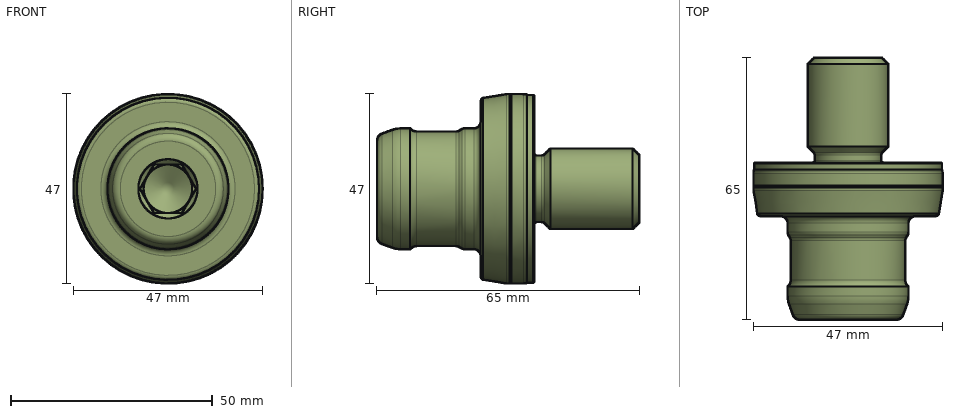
import cadquery as cq
import math

total_length = 65.0

locating_radius = 15.0
waist_radius = 14.25
taper_angle = math.radians(20)
nose_face_radius = 11.8
nose_round = 2.0
shoulder_round = 5.85
shoulder_start = 5.9
waist_front = 8.25
waist_blend_radius = 2.0
waist_back = 19.6
step_arc_radius = 1.5
step_angle = math.radians(30)
root_fillet = 1.6

flange_front = 25.7
flange_back = 39.05
flange_radius = 23.5
taper_end = 32.1
taper_small_radius = 22.55
front_edge_length = 0.65
front_face_radius = 21.45
rim_radius = 23.3
rim_start = 37.25
rim_step_length = 0.3
rim_edge_length = 0.65
rim_edge_radius = 23.43
rim_chamfer = 0.3
groove_back = 33.35
groove_width = 0.5
groove_depth = 0.2

neck_radius = 8.29
neck_fillet = 0.4
neck_blend_radius = 1.05
shank_radius = 10.0
shank_start = 42.95
shank_chamfer = 1.6

socket_across_flats = 12.0
socket_depth = 8.0
socket_mouth_radius = 7.35
mouth_cone_angle = math.radians(45)
drill_wall_length = 0.25
drill_tip_half_angle = math.radians(60)


def arc_point(centre_x, centre_y, radius, angle):
    """Point on an arc, with the angle measured from +X toward +Y."""
    return (centre_x + radius * math.cos(angle), centre_y + radius * math.sin(angle))


def add_plug(outline):
    """Rounded nose, taper, locating land, waist and second land, up to the flange."""
    nose_tangent = arc_point(nose_face_radius, nose_round, nose_round, -taper_angle)
    nose_middle_angle = -(math.pi / 2 + taper_angle) / 2
    nose_middle = arc_point(nose_face_radius, nose_round, nose_round, nose_middle_angle)
    shoulder_centre = locating_radius - shoulder_round
    shoulder_tangent = arc_point(shoulder_centre, shoulder_start, shoulder_round, -taper_angle)
    shoulder_middle = arc_point(shoulder_centre, shoulder_start, shoulder_round, -taper_angle / 2)

    step = locating_radius - waist_radius
    blend_angle = math.acos(1 - step / waist_blend_radius)
    blend_length = waist_blend_radius * math.sin(blend_angle)
    blend_end = waist_front + blend_length
    blend_middle = arc_point(
        waist_radius + waist_blend_radius, blend_end, waist_blend_radius, math.pi + blend_angle / 2
    )

    arc_rise = step_arc_radius * (1 - math.cos(step_angle))
    arc_length = step_arc_radius * math.sin(step_angle)
    cone_length = (step - 2 * arc_rise) / math.tan(step_angle)
    cone_start = (waist_radius + arc_rise, waist_back + arc_length)
    cone_end = (locating_radius - arc_rise, waist_back + arc_length + cone_length)
    step_end = (locating_radius, waist_back + 2 * arc_length + cone_length)

    root_start = flange_front - root_fillet
    root_middle = arc_point(
        locating_radius + root_fillet, root_start, root_fillet, math.radians(135)
    )
    return (
        outline.lineTo(nose_face_radius, 0)
        .threePointArc(nose_middle, nose_tangent)
        .lineTo(*shoulder_tangent)
        .threePointArc(shoulder_middle, (locating_radius, shoulder_start))
        .lineTo(locating_radius, waist_front)
        .threePointArc(blend_middle, (waist_radius, blend_end))
        .lineTo(waist_radius, waist_back)
        .tangentArcPoint(cone_start, relative=False)
        .lineTo(*cone_end)
        .tangentArcPoint(step_end, relative=False)
        .lineTo(locating_radius, root_start)
        .threePointArc(root_middle, (locating_radius + root_fillet, flange_front))
    )


def add_flange(outline):
    """Tapered flange with a fine V-groove and a slightly smaller back rim."""
    return (
        outline.lineTo(front_face_radius, flange_front)
        .tangentArcPoint((taper_small_radius, flange_front + front_edge_length), relative=False)
        .lineTo(flange_radius, taper_end)
        .lineTo(flange_radius, groove_back - groove_width)
        .lineTo(flange_radius - groove_depth, groove_back - groove_width / 2)
        .lineTo(flange_radius, groove_back)
        .lineTo(flange_radius, rim_start - rim_step_length - rim_edge_length)
        .lineTo(rim_edge_radius, rim_start - rim_step_length)
        .lineTo(rim_radius, rim_start)
        .lineTo(rim_radius, flange_back - rim_chamfer)
        .lineTo(rim_radius - rim_chamfer, flange_back)
    )


def add_shank(outline):
    """Undercut neck and chamfered shank, ending on the axis."""
    cone_angle = math.radians(45)
    blend_rise = neck_blend_radius * (1 - math.cos(cone_angle))
    blend_length = neck_blend_radius * math.sin(cone_angle)
    cone_start = shank_start - (shank_radius - neck_radius - blend_rise) / math.tan(cone_angle)
    fillet_middle = arc_point(
        neck_radius + neck_fillet, flange_back + neck_fillet, neck_fillet, math.radians(225)
    )
    return (
        outline.lineTo(neck_radius + neck_fillet, flange_back)
        .threePointArc(fillet_middle, (neck_radius, flange_back + neck_fillet))
        .lineTo(neck_radius, cone_start - blend_length)
        .tangentArcPoint((neck_radius + blend_rise, cone_start), relative=False)
        .lineTo(shank_radius, shank_start)
        .lineTo(shank_radius, total_length - shank_chamfer)
        .lineTo(shank_radius - shank_chamfer, total_length)
        .lineTo(0, total_length)
    )


def revolve_about_y(outline):
    return outline.close().revolve(360, (0, 0), (0, 1))


def make_body():
    outline = cq.Workplane("XY").moveTo(0, 0)
    return revolve_about_y(add_shank(add_flange(add_plug(outline))))


def make_socket():
    """Hexagon with corners on the X axis, a conical mouth and a conical drill bottom."""
    corner_diameter = socket_across_flats / math.cos(math.pi / 6)
    hexagon = cq.Workplane("XZ").polygon(6, corner_diameter).extrude(-socket_depth)
    mouth_cone_depth = socket_mouth_radius * math.tan(mouth_cone_angle)
    mouth = revolve_about_y(
        cq.Workplane("XY").polyline([(0, 0), (socket_mouth_radius, 0), (0, mouth_cone_depth)])
    )
    drill_radius = socket_across_flats / 2
    drill_wall_end = socket_depth + drill_wall_length
    drill_end = drill_wall_end + drill_radius / math.tan(drill_tip_half_angle)
    drill = revolve_about_y(
        cq.Workplane("XY")
        .moveTo(0, socket_depth)
        .lineTo(drill_radius, socket_depth)
        .lineTo(drill_radius, drill_wall_end)
        .lineTo(0, drill_end)
    )
    return hexagon.union(mouth).union(drill)


result = make_body().cut(make_socket())